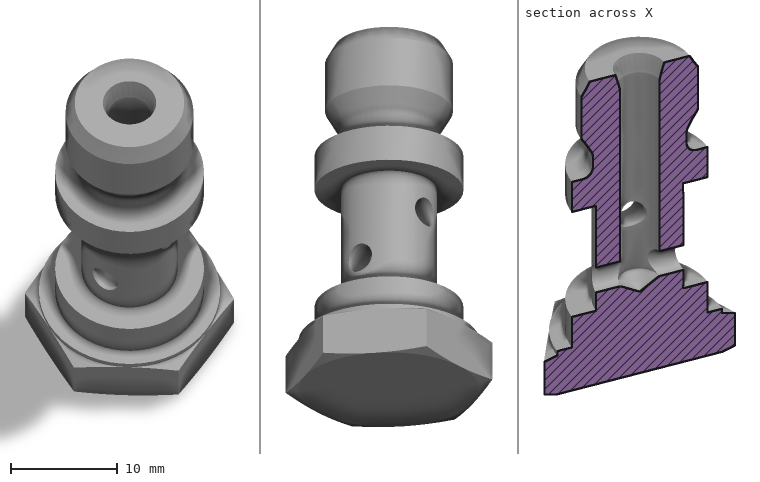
import cadquery as cq
import math

HEAD_ACROSS_FLATS = 17.0
HEAD_CORNER_RADIUS = HEAD_ACROSS_FLATS / math.sqrt(3)
HEAD_HEIGHT = 4.5
HEAD_CORNER_TURN = 30.0
HEAD_BEVEL_ANGLE = 15.0
WASHER_FACE_DIAMETER = HEAD_ACROSS_FLATS
WASHER_FACE_THICKNESS = 0.5

COLLAR_DIAMETER = 13.96
COLLAR_HEIGHT = 3.5
SHANK_DIAMETER = 9.0
SHANK_LENGTH = 12.0

NECK_DIAMETER = 9.7
NECK_FILLET_RADIUS = 1.0
NECK_LENGTH = 2.6
THREAD_DIAMETER = 12.0
TIP_CHAMFER_HEIGHT = 1.5
THREAD_CONE_ANGLE = 30.0
OVERALL_LENGTH = 35.0

BORE_DIAMETER = 4.0
BORE_MOUTH_DIAMETER = 5.0
BORE_MOUTH_ANGLE = 15.0
BORE_POINT_ANGLE = 118.0

CROSS_HOLE_DIAMETER = 2.8
CROSS_HOLE_SPACING = 5.0

WASHER_FACE_TOP = HEAD_HEIGHT + WASHER_FACE_THICKNESS
LOWER_COLLAR_TOP = WASHER_FACE_TOP + COLLAR_HEIGHT
UPPER_COLLAR_BOTTOM = LOWER_COLLAR_TOP + SHANK_LENGTH
UPPER_COLLAR_TOP = UPPER_COLLAR_BOTTOM + COLLAR_HEIGHT
THREAD_CONE_FOOT = UPPER_COLLAR_TOP + NECK_LENGTH
TIP_CHAMFER_BOTTOM = OVERALL_LENGTH - TIP_CHAMFER_HEIGHT
SHANK_MIDDLE = LOWER_COLLAR_TOP + SHANK_LENGTH / 2
LOWER_CROSS_HOLE = SHANK_MIDDLE - CROSS_HOLE_SPACING / 2
UPPER_CROSS_HOLE = SHANK_MIDDLE + CROSS_HOLE_SPACING / 2
BORE_BOTTOM = LOWER_CROSS_HOLE - CROSS_HOLE_DIAMETER / 2


def revolve_about_z(profile):
    """Revolve a closed (radius, height) profile in the XZ plane about Z."""
    return profile.close().revolve(360, (0, 0, 0), (0, 1, 0))


def make_head():
    """Hexagon with two corners on Y, bevelled at both ends, topped by the washer face."""
    face_radius = WASHER_FACE_DIAMETER / 2
    hexagon = (
        cq.Workplane("XY")
        .polygon(6, 2 * HEAD_CORNER_RADIUS)
        .extrude(HEAD_HEIGHT)
        .rotate((0, 0, 0), (0, 0, 1), HEAD_CORNER_TURN)
    )
    bevel_drop = (HEAD_CORNER_RADIUS - face_radius) * math.tan(math.radians(HEAD_BEVEL_ANGLE))
    bevel_envelope = revolve_about_z(
        cq.Workplane("XZ")
        .moveTo(0, 0)
        .lineTo(face_radius, 0)
        .lineTo(HEAD_CORNER_RADIUS, bevel_drop)
        .lineTo(HEAD_CORNER_RADIUS, HEAD_HEIGHT - bevel_drop)
        .lineTo(face_radius, HEAD_HEIGHT)
        .lineTo(0, HEAD_HEIGHT)
    )
    washer_face = (
        cq.Workplane("XY")
        .workplane(offset=HEAD_HEIGHT)
        .circle(face_radius)
        .extrude(WASHER_FACE_THICKNESS)
    )
    return hexagon.intersect(bevel_envelope).union(washer_face)


def make_stem():
    """Collars, shank, filleted neck and threaded end as one turned body."""
    collar_radius = COLLAR_DIAMETER / 2
    shank_radius = SHANK_DIAMETER / 2
    neck_radius = NECK_DIAMETER / 2
    thread_radius = THREAD_DIAMETER / 2
    fillet = NECK_FILLET_RADIUS
    cone_angle = math.radians(THREAD_CONE_ANGLE)
    tip_radius = thread_radius - TIP_CHAMFER_HEIGHT * math.tan(cone_angle)

    thread_bottom = THREAD_CONE_FOOT + (thread_radius - neck_radius) / math.tan(cone_angle)
    cone_fillet_start = THREAD_CONE_FOOT - fillet * math.tan(cone_angle / 2)

    def cone_fillet_point(angle):
        radius = neck_radius + fillet * (1 - math.cos(angle))
        height = cone_fillet_start + fillet * math.sin(angle)
        return radius, height

    middle_offset = fillet * (1 - math.cos(math.radians(45)))
    collar_fillet_middle = (neck_radius + middle_offset, UPPER_COLLAR_TOP + middle_offset)

    return revolve_about_z(
        cq.Workplane("XZ")
        .moveTo(0, HEAD_HEIGHT)
        .lineTo(collar_radius, HEAD_HEIGHT)
        .lineTo(collar_radius, LOWER_COLLAR_TOP)
        .lineTo(shank_radius, LOWER_COLLAR_TOP)
        .lineTo(shank_radius, UPPER_COLLAR_BOTTOM)
        .lineTo(collar_radius, UPPER_COLLAR_BOTTOM)
        .lineTo(collar_radius, UPPER_COLLAR_TOP)
        .lineTo(neck_radius + fillet, UPPER_COLLAR_TOP)
        .threePointArc(collar_fillet_middle, (neck_radius, UPPER_COLLAR_TOP + fillet))
        .lineTo(neck_radius, cone_fillet_start)
        .threePointArc(cone_fillet_point(cone_angle / 2), cone_fillet_point(cone_angle))
        .lineTo(thread_radius, thread_bottom)
        .lineTo(thread_radius, TIP_CHAMFER_BOTTOM)
        .lineTo(tip_radius, OVERALL_LENGTH)
        .lineTo(0, OVERALL_LENGTH)
    )


def make_bore():
    """Drilled bore with a tapered mouth and a conical bottom."""
    bore_radius = BORE_DIAMETER / 2
    mouth_radius = BORE_MOUTH_DIAMETER / 2
    mouth_depth = (mouth_radius - bore_radius) / math.tan(math.radians(BORE_MOUTH_ANGLE))
    point_depth = bore_radius / math.tan(math.radians(BORE_POINT_ANGLE / 2))
    return revolve_about_z(
        cq.Workplane("XZ")
        .moveTo(0, BORE_BOTTOM - point_depth)
        .lineTo(bore_radius, BORE_BOTTOM)
        .lineTo(bore_radius, OVERALL_LENGTH - mouth_depth)
        .lineTo(mouth_radius, OVERALL_LENGTH)
        .lineTo(0, OVERALL_LENGTH)
    )


def make_cross_hole(plane, height):
    """Hole through the whole shank, normal to the given plane."""
    return (
        cq.Workplane(plane)
        .center(0, height)
        .circle(CROSS_HOLE_DIAMETER / 2)
        .extrude(SHANK_DIAMETER, both=True)
    )


result = (
    make_head()
    .union(make_stem())
    .cut(make_bore())
    .cut(make_cross_hole("XZ", LOWER_CROSS_HOLE))
    .cut(make_cross_hole("YZ", UPPER_CROSS_HOLE))
)